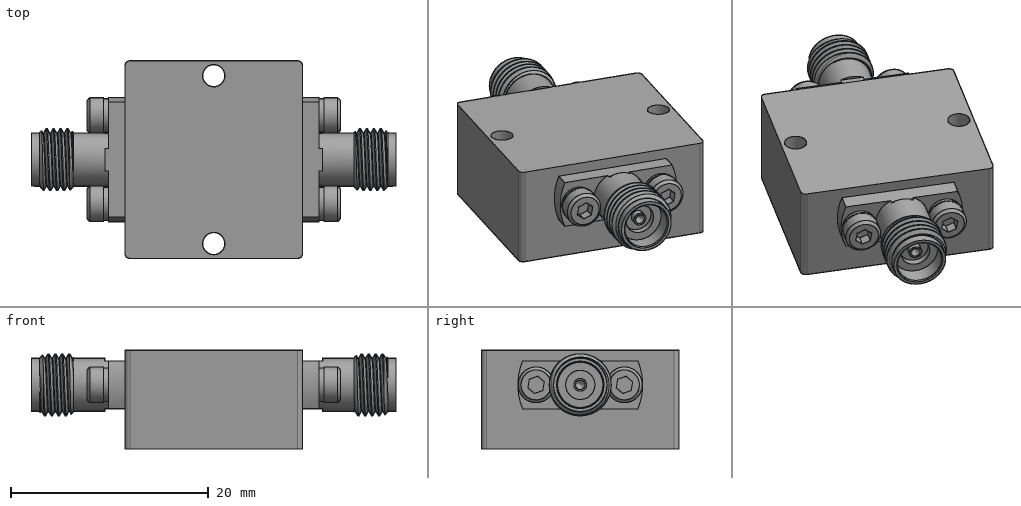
import cadquery as cq
import math

length = 36.92
body_x = 17.98
body_y = 20.0
body_z = 10.0
corner_radius = 0.5
mount_hole_d = 2.2
mount_hole_spacing = 17.0
axis_z = 6.5

connector_length = (length - body_x) / 2
flange_t = 1.65
flange_w = 12.63
flange_h = 4.87
barrel_d = 5.4
flat_length = 0.37
overlap = 0.37

thread_d = 6.28
thread_start = 0.85
thread_end = 4.3
thread_pitch = 0.7
thread_phase = 0.2
crest_w = 0.1
ridge_w = 0.65
ridge_sink = 0.05
bevel_clearance = 0.05
thread_bevel = 0.45
spare_turns = 2

bore_d = 4.58
bore_depth = 1.8
bore_chamfer = 0.1
recess_d = 2.95
recess_depth = 0.75
pin_d = 1.3
pin_hole_d = 0.95

screw_spacing = 8.95
screw_head_d = 3.6
screw_head_h = 2.18
screw_chamfer = 0.3
screw_collar_d = 3.4
screw_collar_h = 0.48
hex_across_corners = 1.77
hex_depth = 1.1
hex_turn = 40.0


def make_housing():
    housing = cq.Workplane("XY").box(body_x, body_y, body_z, centered=(True, True, False))
    housing = housing.edges("|Z").fillet(corner_radius)
    mount_points = [(0, mount_hole_spacing / 2), (0, -mount_hole_spacing / 2)]
    return housing.faces(">Z").workplane(origin=(0, 0, 0)).pushPoints(mount_points).hole(mount_hole_d)


def cylinder(diameter, start, end, y=0.0):
    """Cylinder along X between two distances from the mating end."""
    return cq.Workplane("YZ", origin=(start, y, 0)).circle(diameter / 2).extrude(end - start)


def trim_to_flange_height(solid):
    """Cut flats on the top and bottom of a solid that lies along X."""
    slab_length = connector_length + overlap
    slab = cq.Workplane("XY").box(slab_length, flange_w, flange_h, centered=(False, True, True))
    return solid.intersect(slab)


def make_flange():
    flange = cylinder(flange_w, connector_length - flange_t, connector_length + overlap)
    return trim_to_flange_height(flange)


def make_barrel():
    flange_face = connector_length - flange_t
    flat_start = flange_face - flat_length
    flatted = trim_to_flange_height(cylinder(barrel_d, flat_start, connector_length))
    return cylinder(barrel_d, 0, flat_start).union(flatted)


def make_thread():
    """Right-handed ridge, trimmed to a bevelled envelope."""
    root_r = barrel_d / 2 - ridge_sink
    crest_r = thread_d / 2
    first_crest = thread_start - spare_turns * thread_pitch + thread_phase
    turns = math.ceil((thread_end - thread_start) / thread_pitch) + 2 * spare_turns
    helix = cq.Wire.makeHelix(thread_pitch, turns * thread_pitch, root_r)
    profile = (
        cq.Workplane("XZ")
        .moveTo(root_r, -ridge_w / 2)
        .lineTo(crest_r, -crest_w / 2)
        .lineTo(crest_r, crest_w / 2)
        .lineTo(root_r, ridge_w / 2)
        .close()
    )
    ridge = profile.sweep(cq.Workplane(obj=helix), isFrenet=True)
    ridge = ridge.rotate((0, 0, 0), (0, 1, 0), 90).rotate((0, 0, 0), (1, 0, 0), 180)
    ridge = ridge.translate((first_crest, 0, 0))
    envelope_d = thread_d + 2 * bevel_clearance
    envelope = cylinder(envelope_d, thread_start, thread_end).edges().chamfer(thread_bevel)
    return ridge.intersect(envelope)


def cut_socket(connector):
    recess_end = bore_depth + recess_depth
    bore = cylinder(bore_d, 0, bore_depth)
    recess = cylinder(recess_d, bore_depth, recess_end).cut(cylinder(pin_d, bore_depth, recess_end))
    mouth_r = bore_d / 2 + bore_chamfer
    mouth = cq.Solid.makeCone(mouth_r, bore_d / 2, bore_chamfer, dir=cq.Vector(1, 0, 0))
    pin_r = pin_hole_d / 2
    pin_hole = cq.Solid.makeCone(
        pin_r, 0, pin_r, pnt=cq.Vector(bore_depth, 0, 0), dir=cq.Vector(1, 0, 0)
    )
    return connector.cut(bore).cut(recess).cut(cq.Workplane(mouth)).cut(cq.Workplane(pin_hole))


def make_screw(y):
    flange_face = connector_length - flange_t
    head_start = flange_face - screw_head_h
    collar_start = flange_face - screw_collar_h
    head = cylinder(screw_head_d, head_start, collar_start, y).faces("<X").edges().chamfer(screw_chamfer)
    collar = cylinder(screw_collar_d, collar_start, flange_face + overlap, y)
    socket = (
        cq.Workplane("YZ", origin=(head_start, y, 0))
        .transformed(rotate=(0, 0, hex_turn))
        .polygon(6, hex_across_corners)
        .extrude(hex_depth)
    )
    return head.union(collar).cut(socket)


def make_connector():
    connector = make_barrel().union(make_thread()).union(make_flange())
    connector = cut_socket(connector)
    screws = make_screw(screw_spacing / 2).union(make_screw(-screw_spacing / 2))
    return connector.union(screws).translate((-length / 2, 0, axis_z))


input_connector = make_connector()
output_connector = input_connector.rotate((0, 0, axis_z), (0, 1, axis_z), 180)
result = make_housing().union(input_connector).union(output_connector)